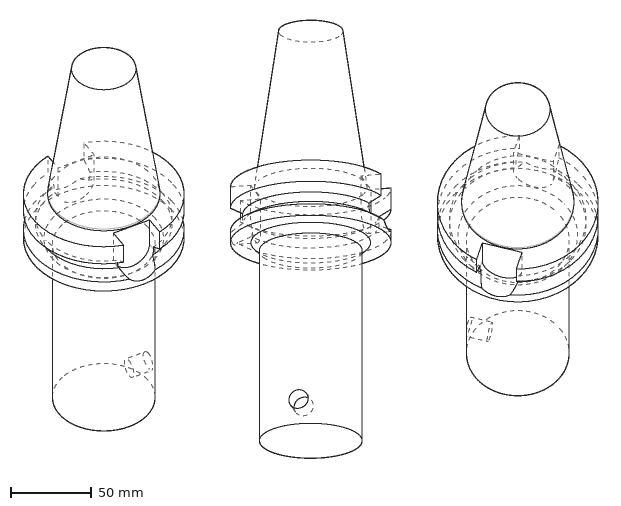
import cadquery as cq
import math


gauge_diameter = 69.85
taper_length = 101.8
taper_ratio = 7 / 24
taper_tip_diameter = gauge_diameter - taper_ratio * taper_length

flange_diameter = 100.0
flange_top = -1.5
flange_bottom = -38.0

groove_diameter = 85.0
groove_centre = -23.0
groove_floor_width = 6.25
groove_flank_angle = 30.0

key_width = 25.7
key_floor_distance = 35.3
key_bottom = -34.3

shank_diameter = 64.0
overall_length = 270.8
shank_bottom = taper_length - overall_length
shoulder_size = 5.2

screw_hole_diameter = 12.3
screw_hole_depth = 14.0
screw_hole_height = 16.4


def make_body():
    """Revolve the taper, grooved flange and shank about Z."""
    gauge_radius = gauge_diameter / 2
    flange_radius = flange_diameter / 2
    groove_radius = groove_diameter / 2
    shank_radius = shank_diameter / 2
    floor_half = groove_floor_width / 2
    flank_height = (flange_radius - groove_radius) * math.tan(math.radians(groove_flank_angle))
    mouth_half = floor_half + flank_height
    profile = [
        (0, taper_length),
        (taper_tip_diameter / 2, taper_length),
        (gauge_radius, 0),
        (gauge_radius, flange_top),
        (flange_radius, flange_top),
        (flange_radius, groove_centre + mouth_half),
        (groove_radius, groove_centre + floor_half),
        (groove_radius, groove_centre - floor_half),
        (flange_radius, groove_centre - mouth_half),
        (flange_radius, flange_bottom),
        (shank_radius + shoulder_size, flange_bottom),
        (shank_radius, flange_bottom - shoulder_size),
        (shank_radius, shank_bottom),
        (0, shank_bottom),
    ]
    return cq.Workplane("XZ").polyline(profile).close().revolve(360, (0, 0, 0), (0, 1, 0))


def make_keyway(side):
    """Round-bottomed slot, open at the flange top, on the +X (1) or -X (-1) side."""
    half_width = key_width / 2
    arc_centre = key_bottom + half_width
    slot_length = flange_diameter / 2 - key_floor_distance
    return (
        cq.Workplane("YZ", origin=(side * key_floor_distance, 0, 0))
        .moveTo(-half_width, flange_top)
        .lineTo(-half_width, arc_centre)
        .threePointArc((0, key_bottom), (half_width, arc_centre))
        .lineTo(half_width, flange_top)
        .close()
        .extrude(side * slot_length)
    )


def make_screw_hole():
    """Blind radial hole entering the shank from the +Y side."""
    hole_floor = shank_diameter / 2 - screw_hole_depth
    return (
        cq.Workplane("XZ", origin=(0, hole_floor, shank_bottom + screw_hole_height))
        .circle(screw_hole_diameter / 2)
        .extrude(-screw_hole_depth)
    )


result = make_body()
for side in (-1, 1):
    result = result.cut(make_keyway(side))
result = result.cut(make_screw_hole())